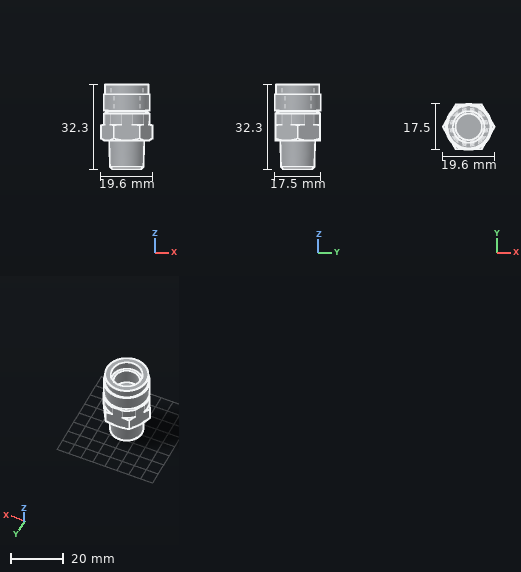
import cadquery as cq
import math

total_height = 32.3
thread_chamfer_top = 1.03
nut_bottom = 10.98
corner_relief_z = 17.05
nut_top = 21.85
collar_bottom = 22.32
collar_top = 28.62

thread_tip_radius = 5.45
thread_small_radius = 6.43
thread_large_radius = 6.72
nut_shoulder_radius = 8.75
nut_top_radius = 7.88
neck_radius = 7.17
collar_radius = 8.75
cap_radius = 8.27
cap_chamfer = 0.1

hex_corner_diameter = 19.65
hex_corner_radius = hex_corner_diameter / 2
hex_flat_radius = hex_corner_radius * math.cos(math.pi / 6)
nut_bottom_chamfer_angle = 30.0
relief_slope_angle = 15.0

nut_top_edge_radius = 8.45
nut_top_edge_z = nut_top - (nut_top_edge_radius - nut_top_radius)
shoulder_slope_angle = 30.0

socket_radius = 6.0
socket_depth = 3.68
bore_radius = 5.0
bore_floor = nut_top


def cone_drop(inner_radius, outer_radius, angle):
    """Axial height of a cone whose slope is given from the horizontal."""
    return (outer_radius - inner_radius) * math.tan(math.radians(angle))


def revolved(points):
    """Revolve a closed (radius, height) outline around Z."""
    return cq.Workplane("XZ").polyline(points).close().revolve(360, (0, 0), (0, 1))


def cylinder(radius, bottom, top):
    return cq.Workplane("XY").workplane(offset=bottom).circle(radius).extrude(top - bottom)


def make_thread():
    return revolved([
        (0, 0),
        (thread_tip_radius, 0),
        (thread_small_radius, thread_chamfer_top),
        (thread_large_radius, nut_bottom),
        (0, nut_bottom),
    ])


def make_nut():
    """Hexagon trimmed by a turned envelope: relieved corners and chamfers."""
    prism = (
        cq.Workplane("XY").workplane(offset=nut_bottom)
        .polygon(6, hex_corner_diameter).extrude(nut_top - nut_bottom)
    )
    chamfer_height = cone_drop(hex_flat_radius, hex_corner_radius, nut_bottom_chamfer_angle)
    relief_drop = cone_drop(nut_shoulder_radius, hex_corner_radius, relief_slope_angle)
    shoulder_drop = cone_drop(nut_top_edge_radius, nut_shoulder_radius, shoulder_slope_angle)
    envelope = revolved([
        (0, nut_bottom),
        (hex_flat_radius, nut_bottom),
        (hex_corner_radius, nut_bottom + chamfer_height),
        (hex_corner_radius, corner_relief_z - relief_drop),
        (nut_shoulder_radius, corner_relief_z),
        (nut_shoulder_radius, nut_top_edge_z - shoulder_drop),
        (nut_top_edge_radius, nut_top_edge_z),
        (nut_top_radius, nut_top),
        (0, nut_top),
    ])
    return prism.intersect(envelope)


def make_head():
    """Neck, collar and cap above the nut."""
    neck = cylinder(neck_radius, nut_top, collar_bottom)
    collar = cylinder(collar_radius, collar_bottom, collar_top)
    cap = cylinder(cap_radius, collar_top, total_height).faces(">Z").edges().chamfer(cap_chamfer)
    return neck.union(collar).union(cap)


def make_socket():
    socket = cylinder(socket_radius, total_height - socket_depth, total_height)
    return socket.union(cylinder(bore_radius, bore_floor, total_height))


result = make_thread().union(make_nut()).union(make_head()).cut(make_socket())